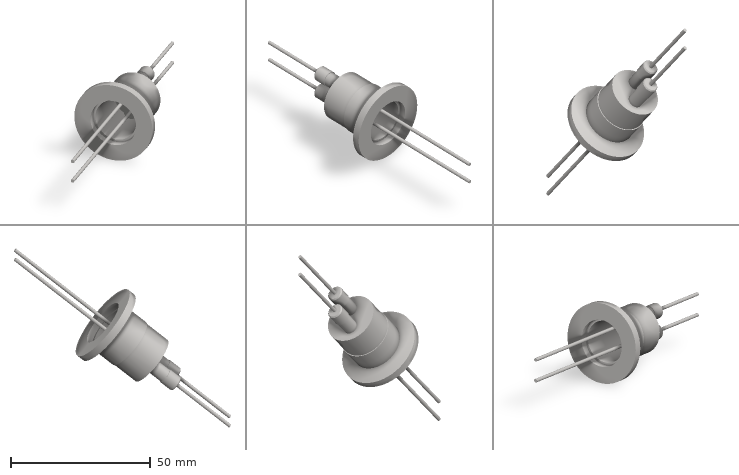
import cadquery as cq


flange_diameter = 30.0
rim_thickness = 2.8
hub_diameter = 19.4
hub_start = 4.3
hub_end = 12.7
body_diameter = 18.8
body_end = 23.1

bore_diameter = 17.6
bore_depth = 2.5
inner_bore_diameter = 15.6
end_wall = (body_diameter - inner_bore_diameter) / 2
inner_bore_depth = body_end - end_wall

tube_spacing = 7.8
tube_diameter = 5.3
tube_inner_length = 4.1
tube_front = inner_bore_depth - tube_inner_length
collar_diameter = 5.8
collar_start = 29.5
collar_end = 34.7
collar_chamfer = 0.4

wire_diameter = 1.3
wire_length = 101.6
wire_front = -41.5


def cylinder(diameter, start, end, z=0.0):
    """Cylinder along Y between two stations, with its axis at height z."""
    axis_start = cq.Vector(0, start, z)
    solid = cq.Solid.makeCylinder(diameter / 2, end - start, axis_start, cq.Vector(0, 1, 0))
    return cq.Workplane(solid)


def make_housing():
    """Flange with tapered back, stepped body and stepped blind bore."""
    profile = [
        (0, 0),
        (flange_diameter / 2, 0),
        (flange_diameter / 2, rim_thickness),
        (hub_diameter / 2, hub_start),
        (hub_diameter / 2, hub_end),
        (body_diameter / 2, hub_end),
        (body_diameter / 2, body_end),
        (0, body_end),
    ]
    housing = cq.Workplane("XY").polyline(profile).close().revolve(360, (0, 0, 0), (0, 1, 0))
    housing = housing.cut(cylinder(bore_diameter, 0, bore_depth))
    return housing.cut(cylinder(inner_bore_diameter, 0, inner_bore_depth))


def make_conductor(z):
    """One insulator tube with its chamfered collar and through wire."""
    tube = cylinder(tube_diameter, tube_front, collar_start, z)
    collar = cylinder(collar_diameter, collar_start, collar_end, z).faces(">Y").chamfer(collar_chamfer)
    wire = cylinder(wire_diameter, wire_front, wire_front + wire_length, z)
    return tube.union(collar).union(wire)


result = make_housing()
for side in (-1, 1):
    result = result.union(make_conductor(side * tube_spacing / 2))